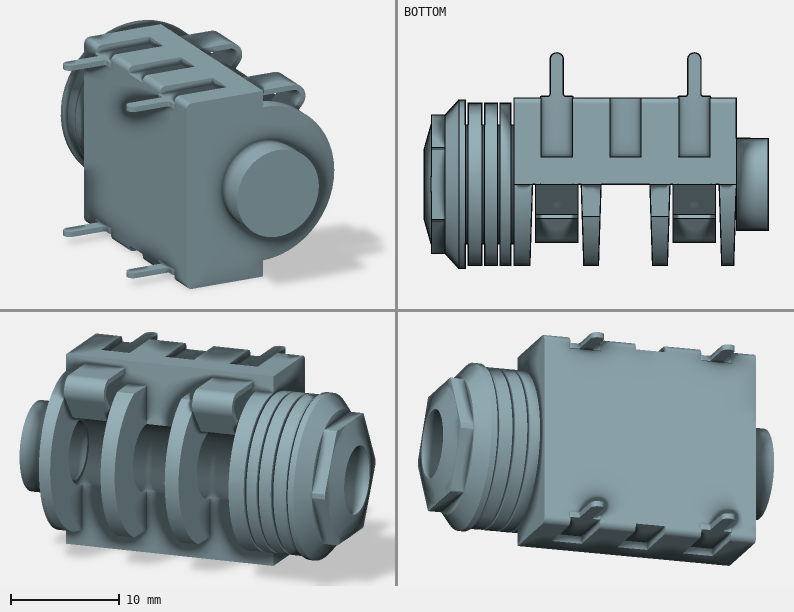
import cadquery as cq
import math


OVERALL_LENGTH = 31.79
OVERALL_WIDTH = 19.94

BOX_LENGTH = 20.55
BOX_HEIGHT = 18.2
BOX_DEPTH = 7.97
BOX_EDGE_RADIUS = 0.55

NOSE_LENGTH = 8.28
CONE_LENGTH = 0.67
CONE_BASE_RADIUS = 5.57
FLANGE_FRONT = 6.33
FLANGE_RIM_FRONT = 5.05
FLANGE_BACK = 4.47
FLANGE_RADIUS = 7.8
NECK_RADIUS = 5.5
BARREL_RADIUS = 7.51
RINGS = [(4.21, 2.94), (2.68, 1.5), (1.27, 0.26)]

HEX_ACROSS_TOP = 11.0
HEX_ACROSS_SIDES = 11.32
HEX_CORNER_RADIUS = 6.4

TAIL_LENGTH = OVERALL_LENGTH - NOSE_LENGTH - BOX_LENGTH
TAIL_RADIUS = 4.25
BORE_RADIUS = 3.22
TIP_BORE_RADIUS = 2.8
END_WALL = 1.0

PARTITIONS = [
    (0.0, 1.74, False),
    (6.22, 8.07, True),
    (12.56, 14.43, True),
    (18.95, BOX_LENGTH, False),
]
PARTITION_TAPER = 0.24
FLAT_SIDE_HEIGHT = 2.97

RECESS_PITCH = 6.35
FIRST_RECESS_X = 3.97
RECESS_COUNT = 3
RECESS_WIDTH = 2.87
RECESS_START = 2.5
RECESS_DEPTH = 0.7

CONTACT_THICKNESS = 0.5
CONTACT_TOP = BOX_HEIGHT / 2 - RECESS_DEPTH
PLATE_WIDTH = 3.03
PLATE_END = 8.13
PLATE_CORNER_RADIUS = 0.12
PIN_WIDTH = 1.24
PIN_END = OVERALL_WIDTH - FLANGE_RADIUS
PIN_ROOT_RADIUS = 0.2
CONTACT_X = [FIRST_RECESS_X, FIRST_RECESS_X + 2 * RECESS_PITCH]

SPRING_WIDTH = 3.95
BEND_Y = 4.13
BEND_OUTER_RADIUS = 1.25
BEND_INNER_RADIUS = BEND_OUTER_RADIUS - CONTACT_THICKNESS
BEND_END_ANGLE = -40.0
SPRING_LEG_LENGTH = 3.0


def cylinder(x_start, x_end, radius):
    """Cylinder on the plug axis."""
    return cq.Workplane("YZ").workplane(offset=x_start).circle(radius).extrude(x_end - x_start)


def block(x_range, y_range, z_range):
    """Box between the given limits."""
    sizes = [high - low for low, high in (x_range, y_range, z_range)]
    corner = (x_range[0], y_range[0], z_range[0])
    return cq.Workplane("XY").box(*sizes, centered=False).translate(corner)


def make_box():
    box = block((0, BOX_LENGTH), (-BOX_DEPTH, 0), (-BOX_HEIGHT / 2, BOX_HEIGHT / 2))
    return box.edges("|X and <Y").fillet(BOX_EDGE_RADIUS)


def make_head():
    """Hexagon with trimmed corners and a conical front face."""
    profile = [
        (-NOSE_LENGTH, 0),
        (-NOSE_LENGTH, BORE_RADIUS),
        (CONE_LENGTH - NOSE_LENGTH, CONE_BASE_RADIUS),
        (CONE_LENGTH - NOSE_LENGTH, HEX_CORNER_RADIUS),
        (-FLANGE_FRONT, HEX_CORNER_RADIUS),
        (-FLANGE_FRONT, 0),
    ]
    head = cq.Workplane("XY").polyline(profile).close().revolve(360, (0, 0, 0), (1, 0, 0))
    slab_size = 2 * OVERALL_LENGTH
    for angle, across in ((0, HEX_ACROSS_TOP), (60, HEX_ACROSS_SIDES), (120, HEX_ACROSS_SIDES)):
        slab = cq.Workplane("XY").box(slab_size, slab_size, across)
        head = head.intersect(slab.rotate((0, 0, 0), (1, 0, 0), angle))
    return head


def make_nose():
    """Head, flange and neck with its three rings."""
    flange_profile = [
        (-FLANGE_FRONT, 0),
        (-FLANGE_FRONT, HEX_CORNER_RADIUS),
        (-FLANGE_RIM_FRONT, FLANGE_RADIUS),
        (-FLANGE_BACK, FLANGE_RADIUS),
        (-FLANGE_BACK, 0),
    ]
    flange = cq.Workplane("XZ").polyline(flange_profile).close().revolve(360, (0, 0, 0), (1, 0, 0))
    nose = make_head().union(flange).union(cylinder(-FLANGE_BACK, 0, NECK_RADIUS))
    for front, back in RINGS:
        nose = nose.union(cylinder(-front, -back, BARREL_RADIUS))
    return nose


def make_partition(front, back, flat_sided):
    """Half-round wall above the box. Its faces lean inwards, except the one level with the box front."""
    crown_front = front + (PARTITION_TAPER if front > 0 else 0)
    taper = [
        (front, 0),
        (back, 0),
        (back - PARTITION_TAPER, BARREL_RADIUS),
        (crown_front, BARREL_RADIUS),
    ]
    wall = cq.Workplane("XY").polyline(taper).close().extrude(BARREL_RADIUS, both=True)
    outline = cylinder(front, back, BARREL_RADIUS)
    if flat_sided:
        half_width = math.sqrt(BARREL_RADIUS**2 - FLAT_SIDE_HEIGHT**2)
        outline = outline.intersect(
            block((front, back), (0, BARREL_RADIUS), (-half_width, half_width))
        )
    return wall.intersect(outline)


def make_recesses():
    """Pockets that open at the top or bottom of the box and at its pin face."""
    recesses = cq.Workplane("XY")
    for index in range(RECESS_COUNT):
        x = FIRST_RECESS_X + index * RECESS_PITCH
        pocket = block(
            (x - RECESS_WIDTH / 2, x + RECESS_WIDTH / 2),
            (-BOX_DEPTH, -RECESS_START),
            (CONTACT_TOP, BOX_HEIGHT / 2),
        )
        recesses = recesses.add(pocket).add(pocket.mirror("XY"))
    return recesses


def make_bore():
    """Plug bore, stepping down to a blind bore in the tail."""
    tip_start = BOX_LENGTH - END_WALL
    tip_end = BOX_LENGTH + TAIL_LENGTH - END_WALL
    bore = cylinder(-NOSE_LENGTH, tip_start, BORE_RADIUS)
    return bore.union(cylinder(tip_start, tip_end, TIP_BORE_RADIUS))


def make_pin_plate(x, plate_start):
    """Flat contact plate with a narrow round-ended solder pin, at the top of the box."""
    plate = block(
        (x - PLATE_WIDTH / 2, x + PLATE_WIDTH / 2),
        (-PLATE_END, -plate_start),
        (CONTACT_TOP - CONTACT_THICKNESS, CONTACT_TOP),
    ).edges("|Z and <Y").fillet(PLATE_CORNER_RADIUS)
    pin_round_y = -PIN_END + PIN_WIDTH / 2
    pin = (
        cq.Workplane("XY")
        .workplane(offset=CONTACT_TOP - CONTACT_THICKNESS)
        .moveTo(x - PIN_WIDTH / 2, -BOX_DEPTH)
        .lineTo(x - PIN_WIDTH / 2, pin_round_y)
        .threePointArc((x, -PIN_END), (x + PIN_WIDTH / 2, pin_round_y))
        .lineTo(x + PIN_WIDTH / 2, -BOX_DEPTH)
        .close()
        .extrude(CONTACT_THICKNESS)
    )
    pin_roots = cq.selectors.BoxSelector(
        (x - PIN_WIDTH, -PLATE_END - PIN_ROOT_RADIUS, 0),
        (x + PIN_WIDTH, -PLATE_END + PIN_ROOT_RADIUS, BOX_HEIGHT),
    )
    return plate.union(pin).edges("|Z").edges(pin_roots).fillet(PIN_ROOT_RADIUS)


def make_spring(x):
    """Strip that leaves the box, bends back over itself and runs down towards the plug."""
    bend_z = CONTACT_TOP - BEND_OUTER_RADIUS
    end_angle = math.radians(BEND_END_ANGLE)
    leg_y = SPRING_LEG_LENGTH * math.sin(end_angle)
    leg_z = -SPRING_LEG_LENGTH * math.cos(end_angle)

    def on_bend(radius, angle):
        return (BEND_Y + radius * math.cos(angle), bend_z + radius * math.sin(angle))

    def leg_end(radius):
        y, z = on_bend(radius, end_angle)
        return (y + leg_y, z + leg_z)

    return (
        cq.Workplane("YZ")
        .workplane(offset=x - SPRING_WIDTH / 2)
        .moveTo(0, CONTACT_TOP)
        .lineTo(BEND_Y, CONTACT_TOP)
        .threePointArc(on_bend(BEND_OUTER_RADIUS, 0), on_bend(BEND_OUTER_RADIUS, end_angle))
        .lineTo(*leg_end(BEND_OUTER_RADIUS))
        .lineTo(*leg_end(BEND_INNER_RADIUS))
        .lineTo(*on_bend(BEND_INNER_RADIUS, end_angle))
        .threePointArc(on_bend(BEND_INNER_RADIUS, 0), (BEND_Y, CONTACT_TOP - CONTACT_THICKNESS))
        .lineTo(0, CONTACT_TOP - CONTACT_THICKNESS)
        .close()
        .extrude(SPRING_WIDTH)
    )


def make_upper_contact(x):
    return make_pin_plate(x, 0).union(make_spring(x))


def make_lower_contact(x):
    return make_pin_plate(x, RECESS_START).mirror("XY")


def make_housing(contacts):
    housing = make_box().union(make_nose())
    housing = housing.union(cylinder(BOX_LENGTH, BOX_LENGTH + TAIL_LENGTH, TAIL_RADIUS))
    for front, back, flat_sided in PARTITIONS:
        housing = housing.union(make_partition(front, back, flat_sided))
    housing = housing.cut(make_bore())
    for recess in make_recesses().vals():
        housing = housing.cut(cq.Workplane(recess))
    for contact in contacts:
        housing = housing.cut(contact)
    return housing


contacts = []
for contact_x in CONTACT_X:
    contacts.append(make_upper_contact(contact_x))
    contacts.append(make_lower_contact(contact_x))
housing = make_housing(contacts)

result = cq.Compound.makeCompound([body.solids().val() for body in (housing, *contacts)])